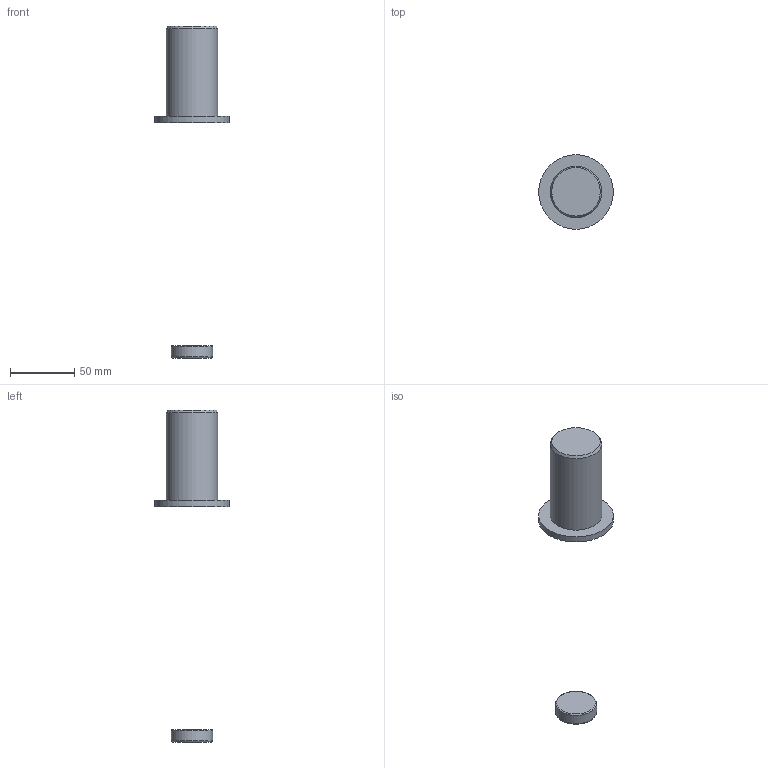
import cadquery as cq
import math

overall_height = 258.0

pin_diameter = 40.0
pin_total_height = 75.0
lead_in_height = 2.0
lead_in_angle = 30.0
lead_in_inset = lead_in_height * math.tan(math.radians(lead_in_angle))
flange_diameter = 58.0
flange_thickness = 5.0

disc_diameter = 32.0
disc_thickness = 9.6
disc_rim_radius = 0.8

flange_base_z = overall_height - pin_total_height


def make_flanged_pin():
    """Round pin with a wide flange at its foot and a conical lead-in at its top."""
    flange = cq.Workplane("XY").circle(flange_diameter / 2).extrude(flange_thickness)
    shank = cq.Workplane("XY").circle(pin_diameter / 2).extrude(pin_total_height)
    shank = shank.faces(">Z").edges().chamfer(lead_in_height, lead_in_inset)
    return flange.union(shank).translate((0, 0, flange_base_z))


def make_disc():
    """Flat round disc with both rims rounded."""
    disc = cq.Workplane("XY").circle(disc_diameter / 2).extrude(disc_thickness)
    return disc.faces("<Z or >Z").edges().fillet(disc_rim_radius)


flanged_pin = make_flanged_pin()
disc = make_disc()

result = cq.Compound.makeCompound([flanged_pin.val(), disc.val()])